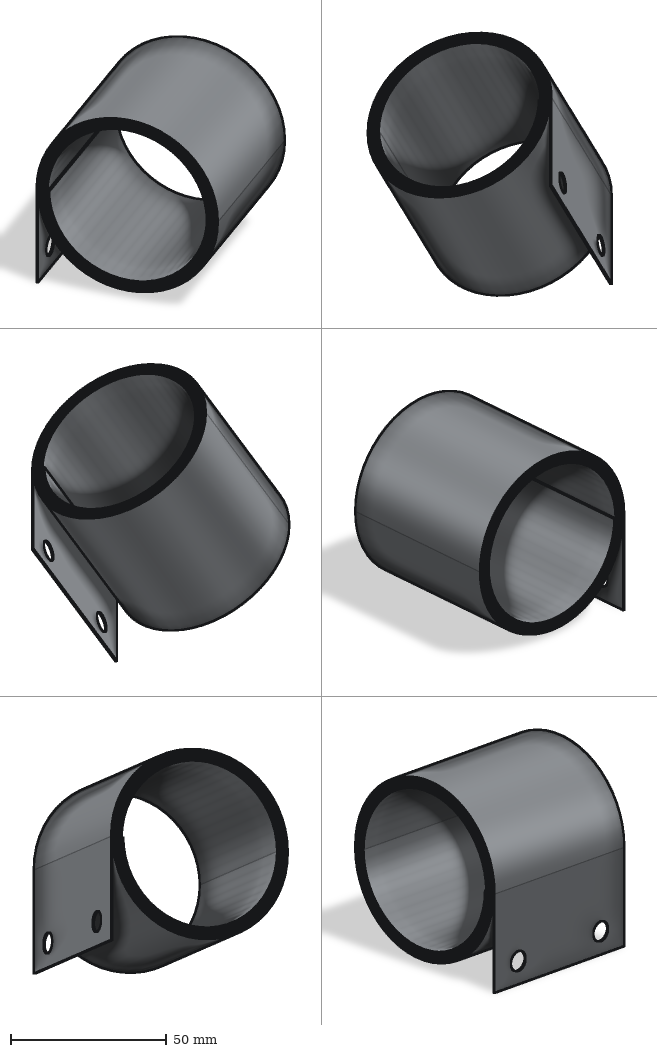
import cadquery as cq

overall_height = 65.3
coil_width = 62.65
strip_width = 60.0
strip_thickness = 0.55
layer_gap = 0.005
turns = 7

hole_diameter = 6.8
hole_spacing = 38.15
hole_edge_distance = 8.05

outer_radius = coil_width / 2
pitch = strip_thickness + layer_gap
tail_bottom = outer_radius - overall_height


def spiral_arcs(start_radius):
    """Return (midpoint, endpoint) of the half-circle arcs winding inward from the left side."""
    arcs = []
    for turn in range(turns):
        upper_radius = start_radius - turn * pitch
        lower_radius = upper_radius - pitch / 2
        right = (upper_radius, 0)
        next_left = (pitch - upper_radius, 0)
        arcs.append(((0, upper_radius), right))
        arcs.append(((pitch / 2, -lower_radius), next_left))
    return arcs


def make_strip():
    """Coiled strip with its straight tail hanging down on the left."""
    outer_start = (-outer_radius, 0)
    inner_radius = outer_radius - strip_thickness
    inner_start = (-inner_radius, 0)
    outer_arcs = spiral_arcs(outer_radius)
    inner_arcs = spiral_arcs(inner_radius)

    profile = cq.Workplane("XZ").moveTo(-outer_radius, tail_bottom).lineTo(*outer_start)
    for midpoint, endpoint in outer_arcs:
        profile = profile.threePointArc(midpoint, endpoint)

    profile = profile.lineTo(*inner_arcs[-1][1])
    arc_starts = [inner_start] + [endpoint for _, endpoint in inner_arcs[:-1]]
    for (midpoint, _), start in zip(reversed(inner_arcs), reversed(arc_starts)):
        profile = profile.threePointArc(midpoint, start)

    profile = profile.lineTo(-inner_radius, tail_bottom).close()
    return profile.extrude(strip_width / 2, both=True)


def make_tail_holes():
    """Cutters for the two mounting holes, reaching through the tail only."""
    hole_z = tail_bottom + hole_edge_distance
    return (
        cq.Workplane("YZ", origin=(-outer_radius, 0, hole_z))
        .pushPoints([(-hole_spacing / 2, 0), (hole_spacing / 2, 0)])
        .circle(hole_diameter / 2)
        .extrude(strip_thickness)
    )


result = make_strip().cut(make_tail_holes())